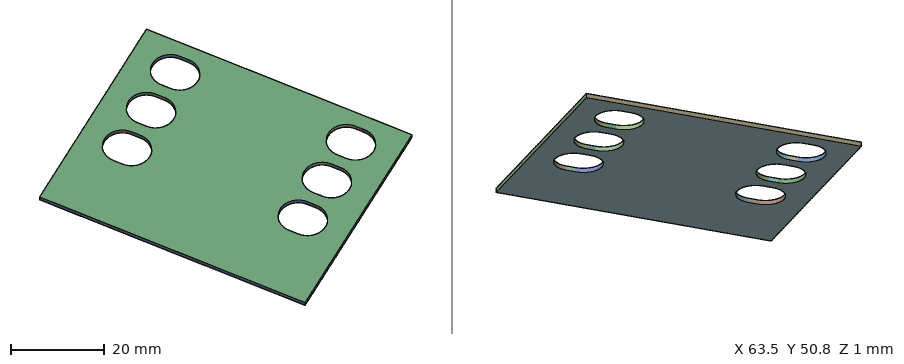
import cadquery as cq

plate_length = 63.5
plate_width = 50.8
plate_thickness = 1.0

slot_length = 10.8
slot_width = 8.65
column_spacing = 42.05
slot_pitch = 11.4
slots_per_column = 3
top_edge_to_first_slot = 7.7

first_slot_y = plate_width / 2 - top_edge_to_first_slot
slot_centers = [
    (side * column_spacing / 2, first_slot_y - row * slot_pitch)
    for side in (-1, 1)
    for row in range(slots_per_column)
]

plate = cq.Workplane("XY").box(plate_length, plate_width, plate_thickness)

result = (
    plate.faces(">Z")
    .workplane(origin=(0, 0, 0))
    .pushPoints(slot_centers)
    .slot2D(slot_length, slot_width)
    .cutThruAll()
)